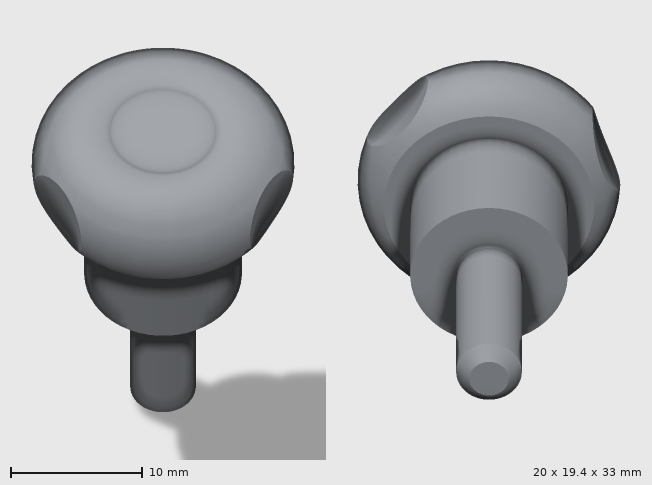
import cadquery as cq
import math

PIN_LENGTH = 15.0
COLLAR_LENGTH = 10.0
HEAD_HEIGHT = 8.0

PIN_RADIUS = 2.5
COLLAR_RADIUS = 6.0
HEAD_RADIUS = 10.0
HEAD_BASE_RADIUS = 8.0
TOP_FLAT_RADIUS = 4.0

TIP_CHAMFER = 1.0
ROOT_FILLET = 0.2

SCALLOP_COUNT = 3
SCALLOP_FIRST_ANGLE = -90.0
SCALLOP_RADIUS = 15.0
SCALLOP_CHORD = 6.9

HEAD_BOTTOM = PIN_LENGTH + COLLAR_LENGTH
HEAD_TOP = HEAD_BOTTOM + HEAD_HEIGHT


def revolve_about_z(profile):
    """Full turn of a closed XZ profile about the Z axis."""
    return profile.revolve(360, (0, 0, 0), (0, 1, 0))


def make_stem():
    """Pin with a chamfered tip and a small root fillet, running up into the plain collar."""
    profile = (
        cq.Workplane("XZ")
        .lineTo(PIN_RADIUS - TIP_CHAMFER, 0)
        .lineTo(PIN_RADIUS, TIP_CHAMFER)
        .lineTo(PIN_RADIUS, PIN_LENGTH - ROOT_FILLET)
        .tangentArcPoint((PIN_RADIUS + ROOT_FILLET, PIN_LENGTH), relative=False)
        .lineTo(COLLAR_RADIUS, PIN_LENGTH)
        .lineTo(COLLAR_RADIUS, HEAD_BOTTOM)
        .lineTo(0, HEAD_BOTTOM)
        .close()
    )
    return revolve_about_z(profile)


def rim_arc_radius():
    """Radius of the arc that touches the head's top plane and outer radius and meets the base edge."""
    base_inset = HEAD_RADIUS - HEAD_BASE_RADIUS
    return base_inset + HEAD_HEIGHT - math.sqrt(2 * base_inset * HEAD_HEIGHT)


def make_head():
    """Head whose rim is one arc, from the base edge over the crest and down to a sunken flat disc."""
    arc_radius = rim_arc_radius()
    arc_center_x = HEAD_RADIUS - arc_radius
    arc_center_z = HEAD_TOP - arc_radius
    top_flat_z = arc_center_z + math.sqrt(arc_radius**2 - (arc_center_x - TOP_FLAT_RADIUS) ** 2)
    profile = (
        cq.Workplane("XZ")
        .moveTo(0, HEAD_BOTTOM)
        .lineTo(HEAD_BASE_RADIUS, HEAD_BOTTOM)
        .threePointArc((HEAD_RADIUS, arc_center_z), (TOP_FLAT_RADIUS, top_flat_z))
        .lineTo(0, top_flat_z)
        .close()
    )
    return revolve_about_z(profile)


def make_scallop_cutters():
    """Vertical cylinders, each crossing the head's outer circle at the ends of the scallop chord."""
    half_chord = SCALLOP_CHORD / 2
    chord_distance = math.sqrt(HEAD_RADIUS**2 - half_chord**2)
    axis_distance = chord_distance + math.sqrt(SCALLOP_RADIUS**2 - half_chord**2)
    return (
        cq.Workplane("XY")
        .workplane(offset=HEAD_BOTTOM)
        .polarArray(axis_distance, SCALLOP_FIRST_ANGLE, 360, SCALLOP_COUNT)
        .circle(SCALLOP_RADIUS)
        .extrude(HEAD_HEIGHT)
    )


result = make_head().cut(make_scallop_cutters()).union(make_stem())